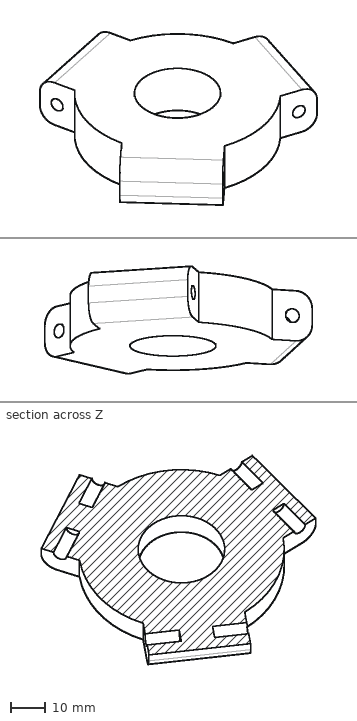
import cadquery as cq
import math

overall_width = 80.8
thickness = 15.0
body_radius = 30.0
bore_radius = 12.5
arm_count = 3
arm_width = 30.0
edge_radius = 5.0
pin_radius = 2.0
pin_inset = 6.0
pin_depth = 10.0

arm_pitch = 360 / arm_count
lower_arm_tilt = math.radians(arm_pitch - 90)
corner_offset = arm_width / 2 * math.sin(lower_arm_tilt)
arm_reach = (overall_width / 2 - corner_offset) / math.cos(lower_arm_tilt)


def make_arm():
    """Arm along +Y with rounded outer edges."""
    arm = cq.Workplane("XY").box(arm_width, arm_reach, thickness, centered=(True, False, True))
    return arm.faces(">Y").edges("|X").fillet(edge_radius)


def make_pin_holes():
    """Cutters for the blind holes entering the +Y arm from both sides."""
    left_side = cq.Workplane("YZ", origin=(-arm_width / 2, 0, 0))
    left_hole = left_side.center(arm_reach - pin_inset, 0).circle(pin_radius).extrude(pin_depth)
    return left_hole.union(left_hole.mirror("YZ"))


def make_disc(radius):
    """Full-thickness cylinder centred on the origin."""
    return cq.Workplane("XY").circle(radius).extrude(thickness / 2, both=True)


drilled_arm = make_arm().cut(make_pin_holes())

body = make_disc(body_radius)
for i in range(arm_count):
    body = body.union(drilled_arm.rotate((0, 0, 0), (0, 0, 1), i * arm_pitch))

result = body.cut(make_disc(bore_radius))